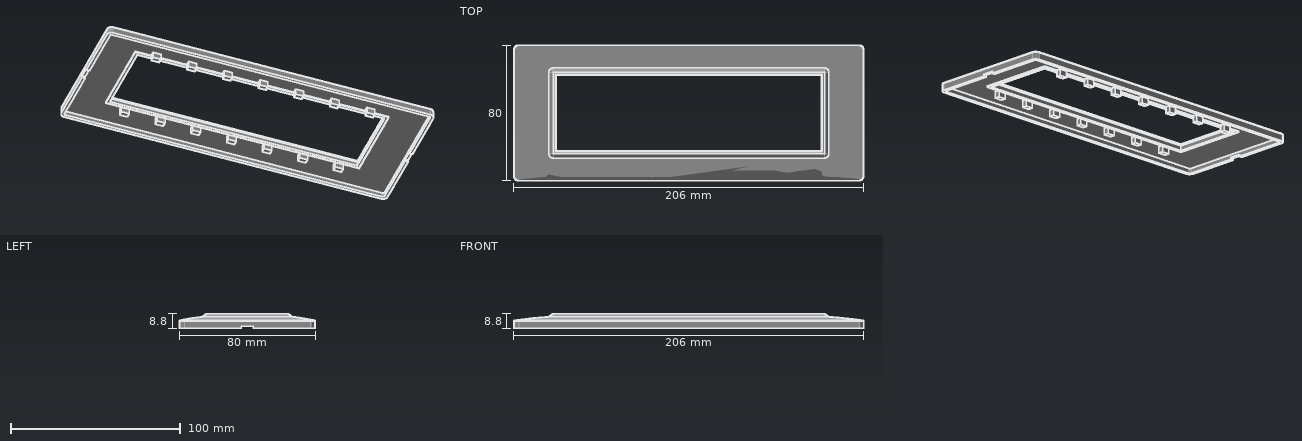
import cadquery as cq
import math

length = 206.0
width = 80.0
height = 8.8
corner_radius = 3.0
side_height = 4.3
bevel_lean = 2.0

crown_edge_height = 4.7
crown_rise = 2.87
crown_run_x = 38.0
crown_run_y = 24.6
ridge_blend = 0.5
crown_overhang = 2.0
crown_grid_step = 2.5
crown_tolerance = 0.01

rim_base_level = 6.5
rim_base_length = 166.0
rim_base_width = 54.2
rim_base_radius = 3.2
rim_slope_run = 3.1

window_length = 156.0
window_width = 44.4
lip_width = 0.6
lip_depth = 1.1

wall = 2.0
collar_wall = 2.0
collar_bottom = 4.4

module_pitch = 22.5
tab_count = 7
tab_length = 5.0
tab_thickness = 3.0
tab_setback = 2.1
tab_bottom = 0.9
tab_top = 6.0

notch_width = 7.0
notch_height = 1.2


def box(size_x, size_y, bottom, top):
    """Centred block between two levels."""
    return cq.Workplane("XY").workplane(offset=bottom).rect(size_x, size_y).extrude(top - bottom)


def rounded_section(size_x, size_y, radius, level):
    """Rounded rectangle lying at the given level."""
    outline = cq.Sketch().rect(size_x, size_y).vertices().fillet(radius)
    return outline.moved(cq.Location(cq.Vector(0, 0, level)))


def loft_between(lower, upper):
    return cq.Workplane("XY").placeSketch(lower, upper).loft()


def crown_climb(distance, run):
    """Height gained at a distance in from a wall, levelling off after the run."""
    remaining = max(1 - distance / run, 0)
    return crown_rise * (1 - remaining**2)


def crown_level(x, y):
    """Height of the crowned face, blending the end slopes into the side slopes."""
    climb_x = crown_climb(length / 2 - abs(x), crown_run_x)
    climb_y = crown_climb(width / 2 - abs(y), crown_run_y)
    overlap = max(ridge_blend - abs(climb_x - climb_y), 0)
    return crown_edge_height + min(climb_x, climb_y) - overlap**2 / (4 * ridge_blend)


def grid_line(span):
    """Evenly spaced positions reaching a little past both ends of a span."""
    reach = span / 2 + crown_overhang
    steps = math.ceil(2 * reach / crown_grid_step)
    return [reach * (2 * index / steps - 1) for index in range(steps + 1)]


def crown():
    """Block filling everything below one smooth crowned face."""
    rows = [[cq.Vector(x, y, crown_level(x, y)) for y in grid_line(width)] for x in grid_line(length)]
    face = cq.Face.makeSplineApprox(rows, tol=crown_tolerance, minDeg=3, maxDeg=3)
    return cq.Workplane(cq.Solid.extrudeLinear(face, cq.Vector(0, 0, -2 * height)))


def bevelled_plate():
    """Rounded plate with upright walls and an inward-leaning border."""
    foot = rounded_section(length, width, corner_radius, 0)
    shoulder = rounded_section(length, width, corner_radius, side_height)
    tip = rounded_section(
        length - 2 * bevel_lean,
        width - 2 * bevel_lean,
        corner_radius - bevel_lean,
        height,
    )
    return loft_between(foot, shoulder).union(loft_between(shoulder, tip))


def rim():
    """Raised border with sloping flanks, standing on the crowned face."""
    base = rounded_section(rim_base_length, rim_base_width, rim_base_radius, rim_base_level)
    top = rounded_section(
        rim_base_length - 2 * rim_slope_run,
        rim_base_width - 2 * rim_slope_run,
        rim_base_radius - rim_slope_run,
        height,
    )
    return loft_between(base, top)


def cavity():
    """Space under the shell, leaving a collar round the window."""
    room = box(length - 2 * wall, width - 2 * wall, 0, height).edges("|Z").fillet(corner_radius - wall)
    collar = box(window_length + 2 * collar_wall, window_width + 2 * collar_wall, collar_bottom, height)
    return room.intersect(crown().translate((0, 0, -wall))).cut(collar)


def tabs():
    """Clip tabs hanging from the shell beside both long sides of the window."""
    tab_y = window_width / 2 + tab_setback + tab_thickness / 2
    first_x = -module_pitch * (tab_count - 1) / 2
    points = []
    for index in range(tab_count):
        for side in (-1, 1):
            points.append((first_x + index * module_pitch, side * tab_y))
    return (
        cq.Workplane("XY")
        .workplane(offset=tab_bottom)
        .pushPoints(points)
        .rect(tab_length, tab_thickness)
        .extrude(tab_top - tab_bottom)
    )


def window():
    """Through opening with a shallow lip at the top."""
    opening = box(window_length, window_width, 0, height)
    lip = box(window_length + 2 * lip_width, window_width + 2 * lip_width, height - lip_depth, height)
    return opening.union(lip)


shell = bevelled_plate().intersect(crown()).union(rim()).cut(cavity()).cut(window())
end_notches = box(length, notch_width, 0, notch_height)
result = shell.union(tabs()).cut(end_notches)